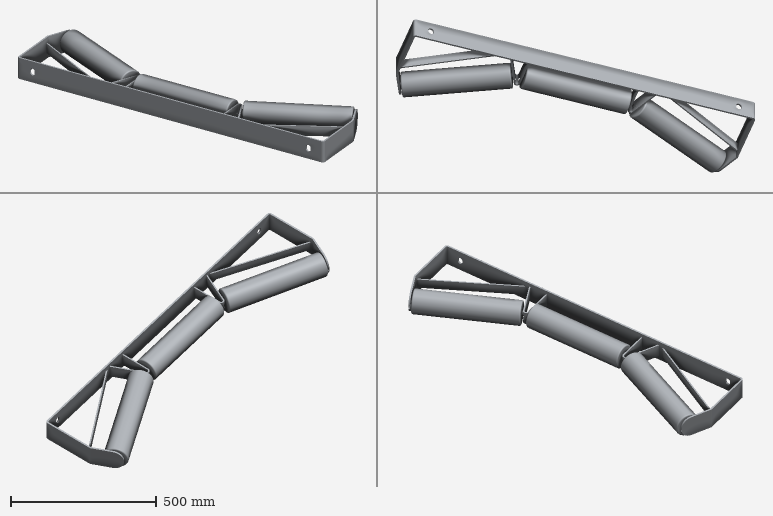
import cadquery as cq
import math

tilt = 25.0
roller_diameter = 89.0
roller_length = 381.0
roller_edge_radius = 5.0
shaft_diameter = 20.0
shaft_shoulder_length = 389.0
shaft_length = 402.0
shaft_flat_width = 19.0
middle_roller_y = 100.0
side_roller_x = 400.0
side_roller_y = 191.0

frame_length = 1240.0
frame_width = 80.0
frame_thickness = 6.0
frame_bend_radius = 10.0
knee_y = 196.0
arm_length = 120.0
mounting_hole_width = 19.0
mounting_hole_length = 26.0
mounting_hole_inset = 62.0

bracket_width = 50.0
bracket_thickness = 5.0
bracket_upright_x = 196.0
bracket_top_y = 128.0
bracket_bend_radius = 11.0

strut_width = 37.0
strut_thickness = 5.0
strut_foot_x = 283.0
strut_head_y = 187.0

half_length = frame_length / 2
upright_inner_x = half_length - frame_thickness
tilt_sin = math.sin(math.radians(tilt))
tilt_cos = math.cos(math.radians(tilt))


def centred_prism(outline, width):
    """Extrude an outline in the XY plane to the given width, centred on Z = 0."""
    return outline.extrude(width / 2, both=True)


def rod(diameter, length):
    """A cylinder along X, centred on the origin."""
    return cq.Workplane("YZ", origin=(-length / 2, 0, 0)).circle(diameter / 2).extrude(length)


def placed(body, x, y, angle):
    """Turn a body about Z and move it to its roller axis."""
    return body.rotate((0, 0, 0), (0, 0, 1), angle).translate((x, y, 0))


def on_left(body):
    return placed(body, -side_roller_x, side_roller_y, -tilt)


def on_middle(body):
    return placed(body, 0, middle_roller_y, 0)


def mirrored(body):
    """The matching body at the +X end."""
    return body.mirror("YZ")


def flattened_rod():
    """The shaft with its two flats running over the whole length."""
    flats = cq.Workplane("XY").box(shaft_length, shaft_diameter, shaft_flat_width)
    return rod(shaft_diameter, shaft_length).intersect(flats)


def roller():
    drum = rod(roller_diameter, roller_length).faces("<X or >X").edges().fillet(roller_edge_radius)
    return drum.union(rod(shaft_diameter, shaft_shoulder_length)).union(flattened_rod())


def shaft_slot():
    """Cutter for the open slots that hold the flattened ends of a shaft."""
    depth = roller_diameter
    mouth = cq.Workplane("XY").box(shaft_length, depth, shaft_flat_width, centered=(True, False, True))
    return flattened_rod().union(mouth)


def frame_arm():
    """Leaning arm at the -X end, with a semicircular tip."""
    tip_radius = frame_width / 2
    straight = arm_length - tip_radius
    arm_plane = cq.Plane(
        origin=(-half_length, knee_y, 0),
        xDir=(tilt_sin, tilt_cos, 0),
        normal=(tilt_cos, -tilt_sin, 0),
    )
    return (
        cq.Workplane(arm_plane)
        .moveTo(0, -tip_radius)
        .lineTo(straight, -tip_radius)
        .threePointArc((arm_length, 0), (straight, tip_radius))
        .lineTo(0, tip_radius)
        .close()
        .extrude(frame_thickness)
    )


def frame():
    outline = (
        cq.Workplane("XY")
        .moveTo(0, 0)
        .lineTo(-half_length, 0)
        .lineTo(-half_length, knee_y)
        .lineTo(-upright_inner_x, knee_y)
        .lineTo(-upright_inner_x, frame_thickness)
        .lineTo(0, frame_thickness)
        .close()
    )
    half = centred_prism(outline, frame_width).union(frame_arm())

    bends = [
        ((-half_length, 0, 0), frame_bend_radius),
        ((-half_length, knee_y, 0), frame_bend_radius),
        ((-upright_inner_x, frame_thickness, 0), frame_bend_radius - frame_thickness),
    ]
    for corner, radius in bends:
        half = half.edges(cq.selectors.NearestToPointSelector(corner)).fillet(radius)

    half = half.cut(on_left(shaft_slot()))
    hole = (
        cq.Workplane("XZ")
        .center(mounting_hole_inset - half_length, 0)
        .slot2D(mounting_hole_length, mounting_hole_width, 90)
        .extrude(-frame_thickness)
    )
    half = half.cut(hole)
    return half.union(mirrored(half))


def bracket():
    """Bracket at the -X side: an upright leg and a leg square to the side roller."""
    bend_x = -bracket_upright_x - bracket_bend_radius
    bend_y = bracket_top_y - bracket_bend_radius
    inner_radius = bracket_bend_radius - bracket_thickness

    def leaning_leg(radius):
        """Top and foot of the leaning leg's face that is tangent to this crest radius."""
        top_x = bend_x - radius * tilt_cos
        top_y = bend_y + radius * tilt_sin
        foot_x = top_x - (top_y - frame_thickness) * tilt_sin / tilt_cos
        return (top_x, top_y), (foot_x, frame_thickness)

    outer_top, outer_foot = leaning_leg(bracket_bend_radius)
    inner_top, inner_foot = leaning_leg(inner_radius)
    outline = (
        cq.Workplane("XY")
        .moveTo(-bracket_upright_x, frame_thickness)
        .lineTo(-bracket_upright_x, bend_y)
        .threePointArc((bend_x, bracket_top_y), outer_top)
        .lineTo(*outer_foot)
        .lineTo(*inner_foot)
        .lineTo(*inner_top)
        .threePointArc((bend_x, bend_y + inner_radius), (bend_x + inner_radius, bend_y))
        .lineTo(bend_x + inner_radius, frame_thickness)
        .close()
    )
    folded_bar = centred_prism(outline, bracket_width)
    return folded_bar.cut(on_left(shaft_slot())).cut(on_middle(shaft_slot()))


def strut():
    slope = math.atan2(strut_head_y - frame_thickness, upright_inner_x - strut_foot_x)
    head_height = strut_thickness / math.cos(slope)
    foot_length = strut_thickness / math.sin(slope)
    outline = cq.Workplane("XY").polyline([
        (-upright_inner_x, strut_head_y),
        (-upright_inner_x, strut_head_y - head_height),
        (-strut_foot_x - foot_length, frame_thickness),
        (-strut_foot_x, frame_thickness),
    ]).close()
    return centred_prism(outline, strut_width)


bodies = [frame(), on_middle(roller())]
for left_body in (on_left(roller()), bracket(), strut()):
    bodies += [left_body, mirrored(left_body)]

result = cq.Compound.makeCompound([body.solids().val() for body in bodies])